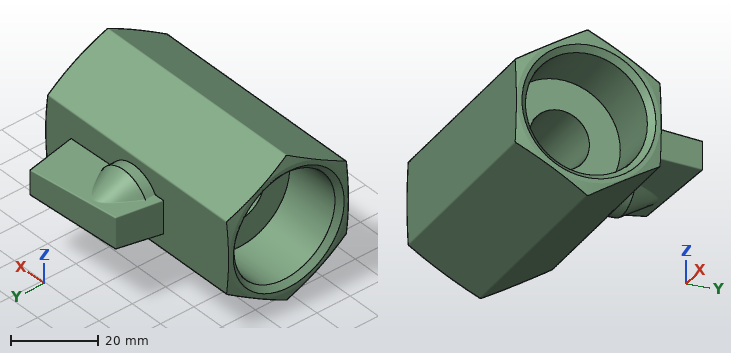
import cadquery as cq
import math

BODY_LENGTH = 65.0
ACROSS_FLATS = 36.0
EDGE_ROUND = 0.5
END_FACE_RADIUS = 17.8
END_BEVEL_ANGLE = 15.0

PORT_RADIUS = 15.15
PORT_DEPTH = 17.55
PORT_MOUTH_RADIUS = 16.65
PORT_MOUTH_DEPTH = 1.5
PASSAGE_RADIUS = 7.5

STEM_RADIUS = 5.5
STEM_GAP = 1.0
HUB_RADIUS = 9.05
HUB_RIM_HEIGHT = 3.0
HUB_CONE_HEIGHT = 8.9
HUB_CONE_ANGLE = 28.5

LEVER_BACK_BASE = -10.5
LEVER_BACK_TOP = -8.2
LEVER_BACK_HEIGHT = 12.4
LEVER_TIP_BASE = 22.4
LEVER_TIP_TOP = 19.5
LEVER_TIP_HEIGHT = 14.8
LEVER_BACK_HALF_WIDTH = 4.9
LEVER_TIP_HALF_WIDTH = 3.85
LEVER_DRAFT = 1.1
LEVER_EDGE_ROUND = 0.3
HUB_BLEND = 0.3

FLAT_Y = ACROSS_FLATS / 2
CORNER_RADIUS = FLAT_Y / math.cos(math.radians(30))
LEVER_BASE_Y = FLAT_Y + STEM_GAP


def revolve_about_x(points):
    """Turn a closed (x, radius) outline around the X axis."""
    return cq.Workplane("XY").polyline(points).close().revolve(360, (0, 0), (1, 0))


def make_body():
    """Rounded hexagonal bar with flats facing +Y and -Y and bevelled corners at both ends."""
    half = BODY_LENGTH / 2
    corners = [
        (CORNER_RADIUS * math.sin(math.radians(60 * i)), CORNER_RADIUS * math.cos(math.radians(60 * i)))
        for i in range(6)
    ]
    bar = cq.Workplane("YZ").polyline(corners).close().extrude(half, both=True)
    bar = bar.edges("|X").fillet(EDGE_ROUND)
    bevel = (CORNER_RADIUS - END_FACE_RADIUS) * math.tan(math.radians(END_BEVEL_ANGLE))
    envelope = revolve_about_x([
        (-half, 0),
        (-half, END_FACE_RADIUS),
        (bevel - half, CORNER_RADIUS),
        (half - bevel, CORNER_RADIUS),
        (half, END_FACE_RADIUS),
        (half, 0),
    ])
    return bar.intersect(envelope)


def make_bore():
    """Through passage with a wide, countersunk port at each end."""
    half = BODY_LENGTH / 2
    floor = half - PORT_DEPTH
    mouth = half - PORT_MOUTH_DEPTH
    return revolve_about_x([
        (-half, 0),
        (-half, PORT_MOUTH_RADIUS),
        (-mouth, PORT_RADIUS),
        (-floor, PORT_RADIUS),
        (-floor, PASSAGE_RADIUS),
        (floor, PASSAGE_RADIUS),
        (floor, PORT_RADIUS),
        (mouth, PORT_RADIUS),
        (half, PORT_MOUTH_RADIUS),
        (half, 0),
    ])


def make_grip():
    """Wedge-shaped grip that thins towards its tip and its top."""
    profile = [
        (LEVER_BACK_BASE, LEVER_BASE_Y),
        (LEVER_TIP_BASE, LEVER_BASE_Y),
        (LEVER_TIP_TOP, LEVER_BASE_Y + LEVER_TIP_HEIGHT),
        (LEVER_BACK_TOP, LEVER_BASE_Y + LEVER_BACK_HEIGHT),
    ]
    side_shape = cq.Workplane("XY").polyline(profile).close().extrude(HUB_RADIUS, both=True)

    overrun = 3.25
    slope = (LEVER_TIP_HALF_WIDTH - LEVER_BACK_HALF_WIDTH) / (LEVER_TIP_BASE - LEVER_BACK_BASE)
    back_x = LEVER_BACK_BASE - overrun
    tip_x = LEVER_TIP_BASE + overrun
    back_half = LEVER_BACK_HALF_WIDTH - slope * overrun
    tip_half = LEVER_TIP_HALF_WIDTH + slope * overrun
    plan = [(back_x, -back_half), (tip_x, -tip_half), (tip_x, tip_half), (back_x, back_half)]
    wedge = (
        cq.Workplane("XZ", origin=(0, LEVER_BASE_Y, 0))
        .polyline(plan).close()
        .extrude(-LEVER_TIP_HEIGHT - overrun, taper=LEVER_DRAFT)
    )
    return side_shape.intersect(wedge).edges("not <Y").fillet(LEVER_EDGE_ROUND)


def make_hub():
    """Short cylindrical rim with a cone rising from it into the grip."""
    cone_top_radius = HUB_RADIUS - HUB_CONE_HEIGHT * math.tan(math.radians(HUB_CONE_ANGLE))
    rim_y = LEVER_BASE_Y + HUB_RIM_HEIGHT
    outline = [
        (0, LEVER_BASE_Y),
        (HUB_RADIUS, LEVER_BASE_Y),
        (HUB_RADIUS, rim_y),
        (cone_top_radius, rim_y + HUB_CONE_HEIGHT),
        (0, rim_y + HUB_CONE_HEIGHT),
    ]
    return cq.Workplane("XY").polyline(outline).close().revolve(360, (0, 0), (0, 1))


def make_stem():
    """Round stem from the solid core of the body up to the lever."""
    return cq.Workplane("XZ", origin=(0, PORT_RADIUS, 0)).circle(STEM_RADIUS).extrude(PORT_RADIUS - LEVER_BASE_Y)


def make_lever():
    """Grip and hub joined, with a concave blend where the hub leaves each side of the grip."""
    lever = make_grip().union(make_hub())
    clearance = 0.3
    hub_top_y = LEVER_BASE_Y + HUB_RIM_HEIGHT + HUB_CONE_HEIGHT
    outer_z = LEVER_BACK_HALF_WIDTH + clearance
    seam_box = cq.selectors.BoxSelector(
        (LEVER_BACK_TOP + clearance, LEVER_BASE_Y - clearance, -outer_z),
        (HUB_RADIUS, hub_top_y, outer_z),
        boundingbox=True,
    )
    return lever.edges(seam_box).fillet(HUB_BLEND)


result = make_body().cut(make_bore()).union(make_stem()).union(make_lever())